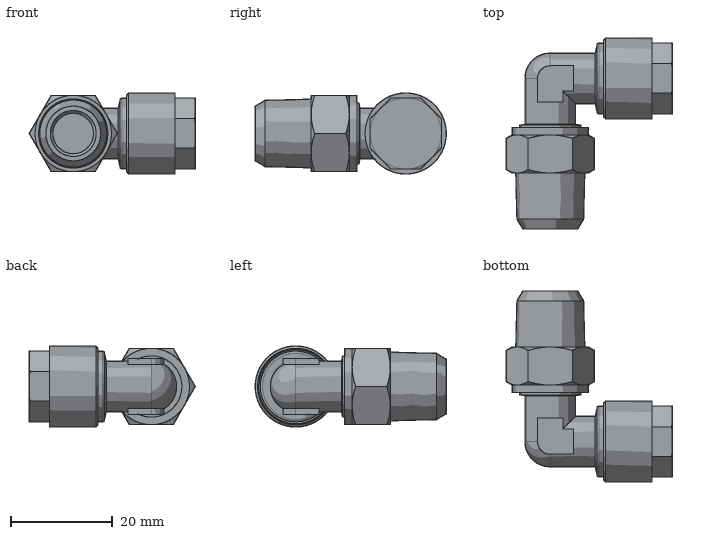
import cadquery as cq
import math


OVERALL_LENGTH = 37.6

TUBE_RADIUS = 5.0
PAD_HALF_WIDTH = TUBE_RADIUS / 2
PAD_ARM = 4.6
PAD_TOP = 5.5

SLEEVE_DIAMETER = 15.98
SLEEVE_RADIUS = SLEEVE_DIAMETER / 2
SLEEVE_CHAMFER = 0.5
SLEEVE_MOUTH_RADIUS = 7.3
SLEEVE_START = 10.4
SLEEVE_END = 20.0
COLLAR_RADIUS = 6.95
COLLAR_START = 8.85
COLLAR_FACE_RADIUS = 6.5
COLLAR_FACE_RISE = 0.35
COLLAR_ROUND_LENGTH = 0.38
END_NUT_FLATS = 14.0
END_NUT_END = 24.0
END_NUT_CHAMFER = 0.15
END_NUT_SIDES = 8

STEM_LENGTH = OVERALL_LENGTH - SLEEVE_RADIUS
STEP_RADIUS = 6.0
STEP_START = 9.0
STEP_CHAMFER = 0.2
FLANGE_START = 9.6
HEX_FLATS = 15.0
HEX_START = 11.1
HEX_END = 18.57
HEX_CHAMFER_ANGLE = 30.0
HEX_SIDES = 6
THREAD_ROOT_RADIUS = 6.8
THREAD_TIP_RADIUS = 6.58
THREAD_TIP_START = 27.63
STEM_END_RADIUS = 5.38
BORE_RADIUS = 4.0
BORE_MOUTH_RADIUS = 4.5
BORE_MOUTH_DEPTH = 0.53
BORE_DEPTH = 2.1


def revolve_on_stem(points):
    """Revolve (radius, distance) points about the stem axis."""
    outline = [(radius, -distance) for radius, distance in points]
    return cq.Workplane("XY").polyline(outline).close().revolve(360, (0, 0, 0), (0, 1, 0))


def revolve_on_branch(points):
    """Revolve (radius, distance) points about the branch axis."""
    outline = [(distance, radius) for radius, distance in points]
    return cq.Workplane("XY").polyline(outline).close().revolve(360, (0, 0, 0), (1, 0, 0))


def corner_radius(flats, sides):
    """Distance from the axis to a corner of a regular polygon."""
    return flats / 2 / math.cos(math.pi / sides)


def make_elbow():
    """Two perpendicular tubes joined by a ball at the corner."""
    stem_tube = cq.Workplane("XZ").circle(TUBE_RADIUS).extrude(FLANGE_START)
    branch_tube = cq.Workplane("YZ").circle(TUBE_RADIUS).extrude(SLEEVE_START)
    return stem_tube.union(branch_tube).union(cq.Workplane("XY").sphere(TUBE_RADIUS))


def make_pads():
    """L-shaped wrench pads on the top and bottom of the elbow."""
    half = PAD_HALF_WIDTH
    return (
        cq.Workplane("XY")
        .workplane(offset=-PAD_TOP)
        .moveTo(0, half)
        .lineTo(PAD_ARM, half)
        .lineTo(PAD_ARM, -half)
        .lineTo(half, -half)
        .lineTo(half, -PAD_ARM)
        .lineTo(-half, -PAD_ARM)
        .lineTo(-half, 0)
        .radiusArc((0, half), half)
        .close()
        .extrude(2 * PAD_TOP)
    )


def make_branch_sleeve():
    """Rounded collar followed by the chamfered sleeve, countersunk around it at 45 degrees."""
    mouth_depth = SLEEVE_MOUTH_RADIUS - COLLAR_RADIUS
    face_end = COLLAR_START + COLLAR_FACE_RISE
    round_end = face_end + COLLAR_ROUND_LENGTH
    round_drop = COLLAR_RADIUS - COLLAR_FACE_RADIUS
    mid_arc = math.sqrt(0.5)
    collar = (
        cq.Workplane("XY")
        .moveTo(COLLAR_START, 0)
        .lineTo(COLLAR_START, TUBE_RADIUS)
        .lineTo(face_end, COLLAR_FACE_RADIUS)
        .threePointArc(
            (round_end - mid_arc * COLLAR_ROUND_LENGTH, COLLAR_FACE_RADIUS + mid_arc * round_drop),
            (round_end, COLLAR_RADIUS),
        )
        .lineTo(SLEEVE_END, COLLAR_RADIUS)
        .lineTo(SLEEVE_END, 0)
        .close()
        .revolve(360, (0, 0, 0), (1, 0, 0))
    )
    sleeve = revolve_on_branch([
        (0, SLEEVE_START + mouth_depth),
        (COLLAR_RADIUS, SLEEVE_START + mouth_depth),
        (SLEEVE_MOUTH_RADIUS, SLEEVE_START),
        (SLEEVE_RADIUS - SLEEVE_CHAMFER, SLEEVE_START),
        (SLEEVE_RADIUS, SLEEVE_START + SLEEVE_CHAMFER),
        (SLEEVE_RADIUS, SLEEVE_END),
        (0, SLEEVE_END),
    ])
    return collar.union(sleeve)


def make_end_nut():
    """Octagonal nut with its outer corners turned down to a cone."""
    corner = corner_radius(END_NUT_FLATS, END_NUT_SIDES)
    octagon = (
        cq.Workplane("YZ")
        .workplane(offset=SLEEVE_END)
        .transformed(rotate=(0, 0, 180 / END_NUT_SIDES))
        .polygon(END_NUT_SIDES, 2 * corner)
        .extrude(END_NUT_END - SLEEVE_END)
    )
    turned = revolve_on_branch([
        (0, SLEEVE_END),
        (corner, SLEEVE_END),
        (corner, END_NUT_END - END_NUT_CHAMFER),
        (END_NUT_FLATS / 2, END_NUT_END),
        (0, END_NUT_END),
    ])
    return octagon.intersect(turned)


def make_hex():
    """Hexagon with both ends turned down to its inscribed circle."""
    corner = corner_radius(HEX_FLATS, HEX_SIDES)
    inner = HEX_FLATS / 2
    drop = (corner - inner) * math.tan(math.radians(HEX_CHAMFER_ANGLE))
    hexagon = (
        cq.Workplane("XZ")
        .workplane(offset=HEX_START)
        .polygon(HEX_SIDES, 2 * corner)
        .extrude(HEX_END - HEX_START)
    )
    turned = revolve_on_stem([
        (0, HEX_START),
        (inner, HEX_START),
        (corner, HEX_START + drop),
        (corner, HEX_END - drop),
        (inner, HEX_END),
        (0, HEX_END),
    ])
    return hexagon.intersect(turned)


def make_stem():
    """Chamfered step, round flange and tapered thread body."""
    step_and_flange = revolve_on_stem([
        (0, STEP_START),
        (TUBE_RADIUS, STEP_START),
        (STEP_RADIUS, STEP_START + STEP_CHAMFER),
        (STEP_RADIUS, FLANGE_START),
        (HEX_FLATS / 2, FLANGE_START),
        (HEX_FLATS / 2, HEX_START),
        (0, HEX_START),
    ])
    thread = revolve_on_stem([
        (0, HEX_END),
        (THREAD_ROOT_RADIUS, HEX_END),
        (THREAD_TIP_RADIUS, THREAD_TIP_START),
        (STEM_END_RADIUS, STEM_LENGTH),
        (0, STEM_LENGTH),
    ])
    return step_and_flange.union(make_hex()).union(thread)


def make_bore():
    """Blind bore with a countersunk mouth in the stem end."""
    return revolve_on_stem([
        (0, STEM_LENGTH),
        (BORE_MOUTH_RADIUS, STEM_LENGTH),
        (BORE_RADIUS, STEM_LENGTH - BORE_MOUTH_DEPTH),
        (BORE_RADIUS, STEM_LENGTH - BORE_DEPTH),
        (0, STEM_LENGTH - BORE_DEPTH),
    ])


result = (
    make_elbow()
    .union(make_pads())
    .union(make_branch_sleeve())
    .union(make_end_nut())
    .union(make_stem())
    .cut(make_bore())
)